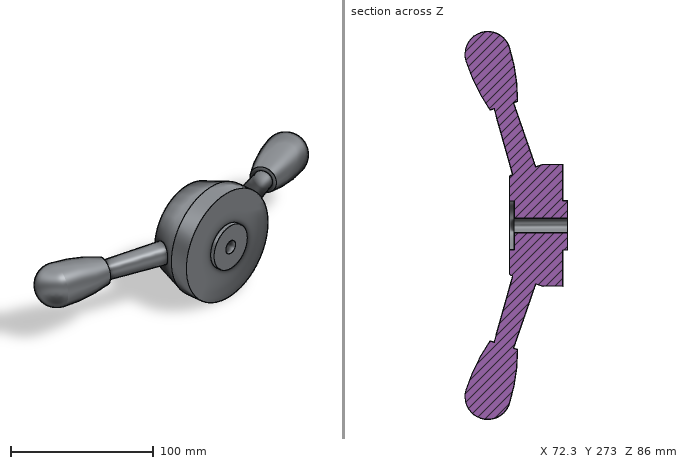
import cadquery as cq
import math

rim_diameter = 86.0
face_diameter = 70.0
cone_length = 23.5
rim_length = 14.2
boss_length = 3.3
boss_diameter = 35.0
recess_diameter = 34.0
recess_depth = 3.3
bore_diameter = 10.0
face_edge_radius = 1.6

overall_span = 273.0
arm_tilt = 17.4
ball_radius = 16.0
ball_x = -15.3
grip_length = 38.0
grip_base_radius = 10.25
rod_outer_radius = 7.23
rod_root_radius = 8.7
rod_length = 52.0

ball_y = overall_span / 2 - ball_radius


def make_hub():
    rim_radius = rim_diameter / 2
    boss_radius = boss_diameter / 2
    rim_end = cone_length + rim_length
    boss_end = rim_end + boss_length
    profile = (
        cq.Workplane("XY")
        .polyline([
            (0, 0),
            (0, face_diameter / 2),
            (cone_length, rim_radius),
            (rim_end, rim_radius),
            (rim_end, boss_radius),
            (boss_end, boss_radius),
            (boss_end, 0),
        ])
        .close()
    )
    hub = profile.revolve(360, (0, 0, 0), (1, 0, 0))
    return hub.faces("<X").edges().fillet(face_edge_radius)


def make_arm():
    """Turn the ball-ended grip and tapered rod about Y, then tilt them about the ball centre."""
    radius_drop = ball_radius - grip_base_radius
    barrel_radius = (grip_length**2 + radius_drop**2) / (2 * radius_drop)
    half_angle = math.asin(grip_length / barrel_radius) / 2
    barrel_middle = (
        ball_radius - barrel_radius * (1 - math.cos(half_angle)),
        -barrel_radius * math.sin(half_angle),
    )
    ball_middle = (ball_radius * math.sqrt(0.5), ball_radius * math.sqrt(0.5))
    rod_end = -grip_length - rod_length
    profile = (
        cq.Workplane("XY")
        .moveTo(0, ball_radius)
        .threePointArc(ball_middle, (ball_radius, 0))
        .threePointArc(barrel_middle, (grip_base_radius, -grip_length))
        .lineTo(rod_outer_radius, -grip_length)
        .lineTo(rod_root_radius, rod_end)
        .lineTo(0, rod_end)
        .close()
    )
    arm = profile.revolve(360, (0, 0, 0), (0, 1, 0))
    return arm.rotate((0, 0, 0), (0, 0, 1), arm_tilt).translate((ball_x, ball_y, 0))


def axial_cylinder(diameter, length):
    return cq.Workplane("YZ").circle(diameter / 2).extrude(length)


arm = make_arm()
body = make_hub().union(arm).union(arm.mirror("XZ"))
recess = axial_cylinder(recess_diameter, recess_depth)
bore = axial_cylinder(bore_diameter, cone_length + rim_length + boss_length)
result = body.cut(recess).cut(bore)